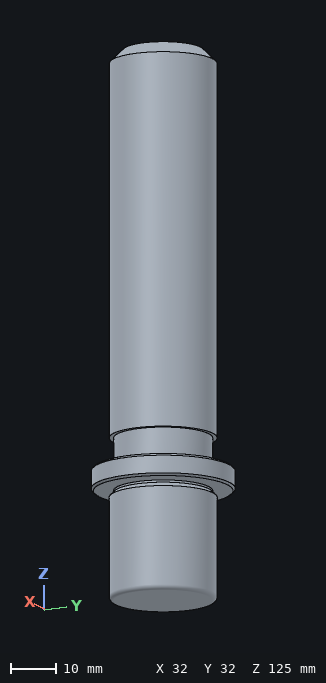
import cadquery as cq

total_length = 125.0
shaft_radius = 12.0
collar_radius = 16.0

shank_length = 24.5
collar_bottom = 25.0
collar_thickness = 5.0
upper_neck_length = 7.0

neck_radius = 11.0

tip_chamfer = 3.0
shank_bottom_fillet = 1.0
collar_chamfer = 0.5

collar_top = collar_bottom + collar_thickness
shaft_bottom = collar_top + upper_neck_length
shank_top_chamfer = shaft_radius - neck_radius


def cylinder(radius, bottom, top):
    """Solid cylinder on the Z axis between two heights."""
    return cq.Workplane("XY").workplane(offset=bottom).circle(radius).extrude(top - bottom)


shank = cylinder(shaft_radius, 0, shank_length)
shank = shank.faces(">Z").chamfer(shank_top_chamfer)
shank = shank.faces("<Z").edges().fillet(shank_bottom_fillet)
lower_neck = cylinder(neck_radius, shank_length, collar_bottom)
collar = cylinder(collar_radius, collar_bottom, collar_top)
collar = collar.faces("<Z or >Z").edges().chamfer(collar_chamfer)
upper_neck = cylinder(neck_radius, collar_top, shaft_bottom)
shaft = cylinder(shaft_radius, shaft_bottom, total_length).faces(">Z").chamfer(tip_chamfer)

result = shank.union(lower_neck).union(collar).union(upper_neck).union(shaft)